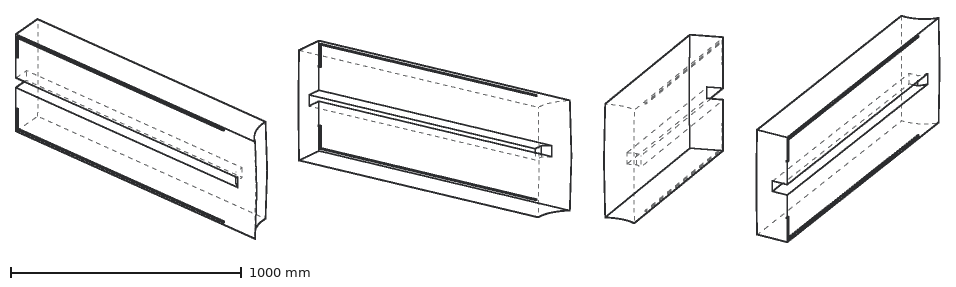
import cadquery as cq
import math

overall_x = 1336.0
overall_y = 231.0
height = 508.0
tilt = 3.3
tilt_sin = math.sin(math.radians(tilt))
tilt_cos = math.cos(math.radians(tilt))
length = overall_x / tilt_cos
thickness = (overall_y - length * tilt_sin) / tilt_cos
half_height = height / 2

back_bulge = 4.0
end_radius = 167.0
end_bulge = 5.0
end_center_y = 134.0
end_center_x = length + math.sqrt(end_radius**2 - end_center_y**2)

slot_height = 51.0
slot_depth = 74.0
slot_floor_length = 1197.0
slot_mouth_length = 1233.0
slot_bend_depth = 30.0
slot_wall_sag = 1.0

groove_width = 4.0
groove_depth = 4.0
groove_edge_gap = 12.0
groove_side_gap = 8.0
groove_length = 1155.0
groove_drop = 119.0


def make_body():
    """Straight panel whose back face is slightly crowned over its height."""
    edge_thickness = thickness - back_bulge
    return (
        cq.Workplane("YZ")
        .moveTo(0, -half_height)
        .lineTo(edge_thickness, -half_height)
        .threePointArc((thickness, 0), (edge_thickness, half_height))
        .lineTo(0, half_height)
        .close()
        .extrude(length)
    )


def make_end_cutter():
    """Upright waisted roller that leaves the end face saddle shaped."""
    rim_radius = end_radius + end_bulge
    return (
        cq.Workplane("XZ")
        .moveTo(0, -half_height)
        .lineTo(rim_radius, -half_height)
        .threePointArc((end_radius, 0), (rim_radius, half_height))
        .lineTo(0, half_height)
        .close()
        .revolve(360, (0, 0), (0, 1))
        .translate((end_center_x, end_center_y, 0))
    )


def make_slot():
    """Long slot with a square inner end that slopes outward to the front."""
    run = slot_mouth_length - slot_floor_length
    chord = math.hypot(run, slot_bend_depth)
    wall_middle = (
        slot_floor_length + run / 2 - slot_wall_sag * slot_bend_depth / chord,
        slot_bend_depth / 2 - slot_wall_sag * run / chord,
    )
    return (
        cq.Workplane("XY")
        .moveTo(0, 0)
        .lineTo(slot_mouth_length, 0)
        .threePointArc(wall_middle, (slot_floor_length, slot_bend_depth))
        .lineTo(slot_floor_length, slot_depth)
        .lineTo(0, slot_depth)
        .close()
        .extrude(slot_height / 2, both=True)
    )


def groove_box(x_start, x_end, z_bottom, z_top):
    """Straight piece of groove sunk into the front face."""
    return cq.Workplane("XY").box(
        x_end - x_start, groove_depth, z_top - z_bottom, centered=False
    ).translate((x_start, 0, z_bottom))


def make_upper_groove():
    """Long run, short leg down the left side, and an outlet to the left end."""
    top = half_height - groove_edge_gap
    bottom = half_height - groove_drop
    leg_end = groove_side_gap + groove_width
    long_run = groove_box(groove_side_gap, groove_length, top - groove_width, top)
    leg = groove_box(groove_side_gap, leg_end, bottom, top)
    outlet = groove_box(0, leg_end, bottom, bottom + groove_width)
    return long_run.union(leg).union(outlet)


upper_groove = make_upper_groove()
panel = make_body().cut(make_end_cutter()).cut(make_slot())
panel = panel.cut(upper_groove).cut(upper_groove.mirror("XY"))

result = panel.rotate((0, 0, 0), (0, 0, 1), -tilt).translate(
    (-overall_x / 2, length * tilt_sin - overall_y / 2, 0)
)